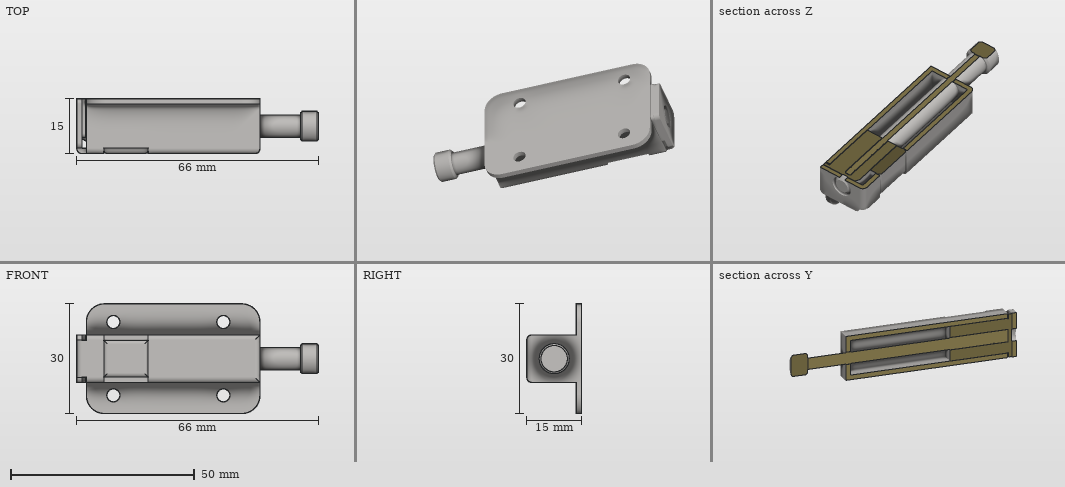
import cadquery as cq


wall = 1.5
housing_start = 2.6
housing_end = 50.0
housing_depth = 15.0
housing_height = 13.0
edge_radius = 1.4
front_face_height = housing_height - 2 * edge_radius
cavity_height = housing_height - 2 * wall
cavity_back = housing_depth - wall

plate_height = 30.0
plate_corner_radius = 5.0
mount_hole_diameter = 3.5
mount_hole_spacing_x = 30.0
mount_hole_spacing_z = 20.0
mount_hole_center_x = 25.0

window_start = 7.4
window_end = 19.5
button_edge_radius = 1.0

axis_y = housing_depth / 2
bolt_diameter = 6.2
bolt_flats_width = 5.1
bolt_flats_height = 5.9
bolt_flats_end = housing_start
tip_start = 0.1
tip_diameter = 4.0
knob_start = 61.0
knob_end = 66.0
knob_diameter = 8.2
knob_chamfer = 0.5

guide_flange_end = 2.4
guide_flange_front = 4.45
guide_flange_radius = 1.0
guide_block_front = 3.4
guide_nose_front = 4.05
guide_end = window_end


def box(x_start, x_end, y_start, y_end, height):
    """Block between the given X and Y limits, centred on the bolt axis in Z."""
    return (
        cq.Workplane("XY")
        .box(x_end - x_start, y_end - y_start, height, centered=(False, False, True))
        .translate((x_start, y_start, 0))
    )


def axial_cylinder(x_start, x_end, diameter):
    """Round bar on the bolt axis."""
    return (
        cq.Workplane("YZ", origin=(x_start, axis_y, 0))
        .circle(diameter / 2)
        .extrude(x_end - x_start)
    )


def bolt_section(x_start, x_end):
    """Bolt bar with two wide flats facing -Y and +Y and two narrow ones facing -Z and +Z."""
    half_flats = bolt_flats_width / 2
    flats = box(x_start, x_end, axis_y - half_flats, axis_y + half_flats, bolt_flats_height)
    return axial_cylinder(x_start, x_end, bolt_diameter).intersect(flats)


def make_housing():
    cover = box(housing_start, housing_end, 0, housing_depth, housing_height)
    cover = cover.faces("<Y").edges("|X or >X").fillet(edge_radius)

    plate = box(housing_start, housing_end, cavity_back, housing_depth, plate_height)
    plate = plate.edges("|Y").fillet(plate_corner_radius)

    flap = box(0, wall, wall, housing_depth, housing_height).edges("|X").fillet(edge_radius)
    bend = box(0, housing_start, 0, wall, front_face_height)
    bend = bend.edges("<X and <Y").fillet(edge_radius)
    flap_root = box(0, wall, wall, wall + edge_radius, front_face_height)

    cavity = box(housing_start, housing_end - wall, wall, cavity_back, cavity_height)
    window = box(window_start, window_end, 0, wall, housing_height)
    mount_holes = (
        cq.Workplane("XZ", origin=(mount_hole_center_x, housing_depth, 0))
        .rarray(mount_hole_spacing_x, mount_hole_spacing_z, 2, 2)
        .circle(mount_hole_diameter / 2)
        .extrude(wall)
    )
    bolt_passage = axial_cylinder(0, housing_end, bolt_diameter)

    shell = cover.union(plate).cut(cavity).cut(window).cut(mount_holes)
    return shell.union(flap).union(flap_root).union(bend).cut(bolt_passage)


def make_guide():
    flange = box(wall, guide_flange_end, guide_flange_front, housing_depth, housing_height)
    flange = flange.edges("|X").fillet(guide_flange_radius)
    block = (
        cq.Workplane("XY", origin=(0, 0, -cavity_height / 2))
        .moveTo(wall, guide_nose_front)
        .lineTo(housing_start, guide_block_front)
        .lineTo(guide_end, guide_block_front)
        .lineTo(guide_end, cavity_back)
        .lineTo(wall, cavity_back)
        .close()
        .extrude(cavity_height)
    )
    flat_bore = bolt_section(wall, bolt_flats_end)
    round_bore = axial_cylinder(bolt_flats_end, guide_end, bolt_diameter)
    return flange.union(block).cut(flat_bore).cut(round_bore)


def make_button():
    button = box(window_start, window_end, 0, guide_block_front, cavity_height)
    return button.faces("<Y").edges().fillet(button_edge_radius)


def make_bolt():
    tip_length = (bolt_diameter - tip_diameter) / 2
    tip_flats = bolt_section(tip_start, bolt_flats_end)
    tip_cone = (
        axial_cylinder(tip_start, bolt_flats_end, bolt_diameter)
        .faces("<X")
        .chamfer(tip_length)
    )
    bar = axial_cylinder(bolt_flats_end, knob_start, bolt_diameter)
    return bar.union(tip_flats.intersect(tip_cone))


def make_knob():
    return axial_cylinder(knob_start, knob_end, knob_diameter).faces("<X or >X").chamfer(knob_chamfer)


housing = make_housing()
guide = make_guide()
button = make_button()
bolt = make_bolt()
knob = make_knob()

result = cq.Compound.makeCompound([housing.val(), guide.val(), button.val(), bolt.val(), knob.val()])